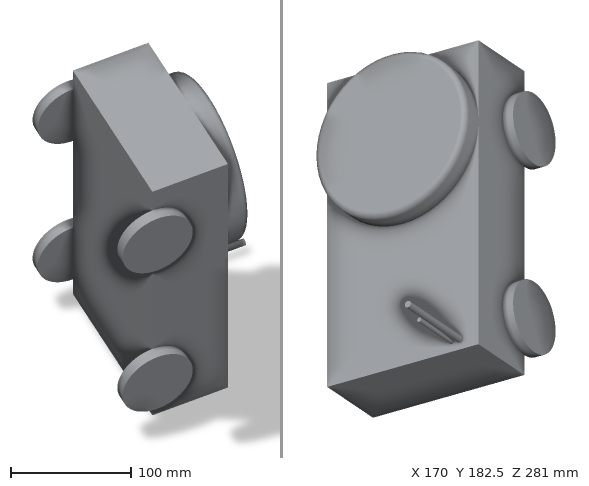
import cadquery as cq

body_width = 150.0
body_depth = 70.0
body_height = 281.04

wheel_diameter = 65.0
wheel_thickness = 10.0
lower_wheel_z = 51.0
wheel_base = 174.0

cover_diameter = body_width
cover_thickness = 20.0
cover_edge_radius = 5.0
cover_z = body_height - cover_diameter / 2

pin_z = 9.3
long_pin_x = -56.7
long_pin_diameter = 6.0
long_pin_length = 80.0
short_pin_x = -48.5
short_pin_diameter = 4.0
short_pin_length = 50.0


def make_body():
    """Plain rectangular box."""
    return cq.Workplane("XY").box(body_width, body_depth, body_height, centered=(True, False, False))


def make_wheel(inner_x, z):
    """Wheel with its axis along X, its low-X face at inner_x."""
    return (
        cq.Workplane("YZ", origin=(inner_x, 0, z))
        .circle(wheel_diameter / 2)
        .extrude(wheel_thickness)
    )


def make_back_cylinder(x, z, diameter, length):
    """Cylinder standing out of the back face along +Y."""
    return (
        cq.Workplane("XZ", origin=(x, body_depth, z))
        .circle(diameter / 2)
        .extrude(-length)
    )


def make_cover():
    """Disc on the back face with a rounded outer rim."""
    disc = make_back_cylinder(0, cover_z, cover_diameter, cover_thickness)
    return disc.faces(">Y").edges().fillet(cover_edge_radius)


result = make_body().union(make_cover())

for wheel_z in (lower_wheel_z, lower_wheel_z + wheel_base):
    for wheel_x in (-body_width / 2 - wheel_thickness, body_width / 2):
        result = result.union(make_wheel(wheel_x, wheel_z))

result = result.union(make_back_cylinder(long_pin_x, pin_z, long_pin_diameter, long_pin_length))
result = result.union(make_back_cylinder(short_pin_x, pin_z, short_pin_diameter, short_pin_length))